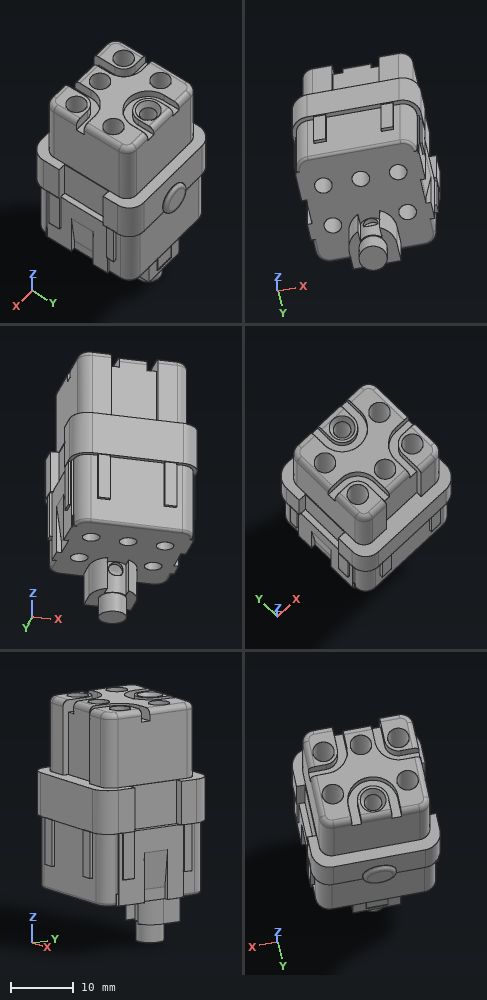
import cadquery as cq
import math

collar_base = 11.95
collar_top = 19.1
top_height = 31.3
pillar_base = -5.5
pin_base = -8.8

collar_size = 21.0
collar_radius = 3.0
notch_wall_x = 9.1
notch_front = -4.35
notch_back = 4.6

upper_x = 18.0
upper_y = 17.2
upper_radius = 2.0
upper_rounding = 1.0
recess_depth = 1.0

lower_size = 19.6
lower_radius = 2.25
lower_rounding = 0.45

tongue_half_x = 10.1
tongue_front = -7.15
tongue_back = 5.2
foot_half_x = 9.95
foot_front = -7.5
foot_height = 1.95
window_half_width = 2.2
window_top = 8.15
window_depth = 0.8

rib_base = 4.25
rib_width = 2.0
front_rib_x = 5.5
front_rib_y = -10.3
side_rib_x = 10.45
side_rib_back = 6.65
side_rib_front = -6.45

contact_x = 6.1
contact_back_y = 3.2
contact_front_y = -4.3
contact_points = [
    (-contact_x, contact_back_y),
    (contact_x, contact_back_y),
    (-contact_x, contact_front_y),
    (0, contact_front_y),
    (contact_x, contact_front_y),
]
contact_diameter = 2.8
counterbore_diameter = 3.4
counterbore_depth = 12.0

earth_y = 5.5
earth_diameter = 2.8
earth_mouth_diameter = 4.1
earth_mouth_depth = 1.0
earth_straight_depth = 10.0

drill_tip_angle = 118

corner_groove_depth = 2.0
earth_groove_depth = 1.4
groove_width = 1.55
earth_groove_radius = 4.05
corner_groove_radius = 3.8

pillar_radius = 3.9
pillar_back = 8.7
channel_half_width = 1.77
channel_core_diameter = 4.8
pad_thickness = 0.12
pad_base = -4.5
screw_hole_diameter = 2.4
screw_hole_z = -1.3
screw_hole_depth = 0.8
pin_diameter = 4.5

head_z = 13.4
head_root_radius = 2.0
head_radius = 2.75
head_face_radius = 2.1
head_widest_start = 10.6
head_widest_end = 10.8
head_face_y = 11.3

recess_half_width = contact_x - corner_groove_radius + groove_width
side_signs = (-1, 1)


def block(x0, x1, y0, y1, z0, z1):
    """Axis-aligned box between two opposite corners."""
    return cq.Workplane("XY").box(x1 - x0, y1 - y0, z1 - z0, centered=False).translate((x0, y0, z0))


def side_block(sign, x0, x1, y0, y1, z0, z1):
    """Box between two distances from the YZ plane, on the chosen side."""
    near, far = sorted((sign * x0, sign * x1))
    return block(near, far, y0, y1, z0, z1)


def cylinder(x, y, radius, z0, z1):
    return cq.Workplane("XY", origin=(x, y, z0)).circle(radius).extrude(z1 - z0)


def rounded_prism(size_x, size_y, radius, z0, z1):
    prism = cq.Workplane("XY", origin=(0, 0, z0)).rect(size_x, size_y).extrude(z1 - z0)
    return prism.edges("|Z").fillet(radius)


def drill_tip_depth(radius):
    return radius / math.tan(math.radians(drill_tip_angle / 2))


def upper_body():
    """Rounded block whose front centre strip is set back, with its own rounded top edge."""
    body = rounded_prism(upper_x, upper_y, upper_radius, collar_base, top_height)
    body = body.faces(">Z").edges().fillet(upper_rounding)
    front = -upper_y / 2
    floor = front + recess_depth
    recess = block(-recess_half_width, recess_half_width, front, floor + upper_rounding,
                   collar_top, top_height)
    strip = block(-recess_half_width, recess_half_width, floor, floor + 2 * upper_rounding,
                  collar_top, top_height)
    strip = strip.edges(">Z and <Y").fillet(upper_rounding)
    return body.cut(recess).union(strip)


def collar():
    ring = rounded_prism(collar_size, collar_size, collar_radius, collar_base, collar_top)
    for sign in side_signs:
        notch = side_block(sign, notch_wall_x, collar_size / 2, notch_front, notch_back,
                           collar_base, collar_top)
        ring = ring.cut(notch)
    return ring


def lower_body():
    body = rounded_prism(lower_size, lower_size, lower_radius, 0, collar_base)
    return body.faces("<Z").edges().fillet(lower_rounding)


def tongue(sign):
    """Side tongue with a foot and a window whose floor slopes inward going down."""
    inner_x = upper_x / 2
    plate = side_block(sign, inner_x, tongue_half_x, tongue_front, tongue_back, 0, collar_base)
    foot = side_block(sign, inner_x, foot_half_x, foot_front, tongue_front, 0, foot_height)
    return plate.union(foot)


def window(sign):
    outer_x = sign * tongue_half_x
    floor_x = sign * (tongue_half_x - window_depth)
    profile = [(outer_x, 0), (outer_x, window_top), (floor_x, foot_height), (floor_x, 0)]
    return (
        cq.Workplane("XZ")
        .polyline(profile)
        .close()
        .extrude(window_half_width, both=True)
    )


def ribs():
    parts = cq.Workplane("XY")
    inner = upper_x / 2
    for sign in side_signs:
        x = sign * front_rib_x
        front = block(x - rib_width / 2, x + rib_width / 2, front_rib_y, -inner, rib_base, collar_base)
        back_side = side_block(sign, inner, side_rib_x, tongue_back, side_rib_back, rib_base, collar_base)
        front_side = side_block(sign, inner, side_rib_x, side_rib_front, notch_front, rib_base, collar_base)
        parts = parts.union(front).union(back_side).union(front_side)
    return parts


def earth_groove_outline(radius):
    """U-shaped island around the earth hole, open to the back."""
    z0 = top_height - earth_groove_depth
    lobe = cylinder(0, earth_y, radius, z0, top_height)
    return lobe.union(block(-radius, radius, earth_y, upper_y / 2, z0, top_height))


def corner_groove_outline(sign, radius):
    """Island around a front contact, open to the side and to the front."""
    z0 = top_height - corner_groove_depth
    edge_x = upper_x / 2
    front = -upper_y / 2
    lobe = cylinder(sign * contact_x, contact_front_y, radius, z0, top_height)
    side_leg = side_block(sign, contact_x, edge_x, front, contact_front_y + radius, z0, top_height)
    front_leg = side_block(sign, contact_x - radius, edge_x, front, contact_front_y, z0, top_height)
    return lobe.union(side_leg).union(front_leg)


def top_grooves():
    grooves = earth_groove_outline(earth_groove_radius)
    grooves = grooves.cut(earth_groove_outline(earth_groove_radius - groove_width))
    for sign in side_signs:
        groove = corner_groove_outline(sign, corner_groove_radius)
        groove = groove.cut(corner_groove_outline(sign, corner_groove_radius - groove_width))
        grooves = grooves.union(groove)
    return grooves


def contact_holes():
    """Through holes with a counterbore that narrows to the hole over a conical step."""
    radius = contact_diameter / 2
    bore_radius = counterbore_diameter / 2
    step_top = top_height - counterbore_depth
    step_bottom = step_top - (bore_radius - radius)
    profile = [
        (0, 0),
        (radius, 0),
        (radius, step_bottom),
        (bore_radius, step_top),
        (bore_radius, top_height),
        (0, top_height),
    ]
    hole = cq.Workplane("XZ").polyline(profile).close().revolve(360, (0, 0), (0, 1))
    holes = cq.Workplane("XY")
    for x, y in contact_points:
        holes = holes.union(hole.translate((x, y, 0)))
    return holes


def earth_hole():
    radius = earth_diameter / 2
    straight_end = earth_mouth_depth + earth_straight_depth
    profile = [
        (0, 0),
        (earth_mouth_diameter / 2, 0),
        (radius, -earth_mouth_depth),
        (radius, -straight_end),
        (0, -straight_end - drill_tip_depth(radius)),
    ]
    hole = cq.Workplane("XZ").polyline(profile).close().revolve(360, (0, 0), (0, 1))
    return hole.translate((0, earth_y, top_height))


def pillar():
    """Round-fronted pillar whose front channel exposes a cylindrical core."""
    body = cylinder(0, earth_y, pillar_radius, pillar_base, 0)
    back = block(-pillar_radius, pillar_radius, earth_y, pillar_back, pillar_base, 0)
    beyond = block(-pillar_radius, pillar_radius, pillar_back, earth_y + pillar_radius, pillar_base, 0)
    channel = block(-channel_half_width, channel_half_width, earth_y - pillar_radius, earth_y,
                    pillar_base, 0)
    core = cylinder(0, earth_y, channel_core_diameter / 2, pillar_base, 0)
    pad = block(-channel_half_width, channel_half_width, pillar_back, pillar_back + pad_thickness,
                pad_base, 0)
    pin = cylinder(0, earth_y, pin_diameter / 2, pin_base, pillar_base)
    return body.union(back).cut(beyond).cut(channel).union(core).union(pad).union(pin)


def screw_hole():
    """Radial hole with a conical bottom, entering the core from the front."""
    radius = screw_hole_diameter / 2
    start_y = earth_y - pillar_radius
    cone_y = earth_y - channel_core_diameter / 2 + screw_hole_depth
    profile = [(0, start_y), (radius, start_y), (radius, cone_y), (0, cone_y + drill_tip_depth(radius))]
    hole = cq.Workplane("XY").polyline(profile).close().revolve(360, (0, 0), (0, 1))
    return hole.translate((0, 0, screw_hole_z))


def screw_head():
    bulge = (head_radius - head_face_radius) * math.cos(math.pi / 4)
    rise = (head_face_y - head_widest_end) * math.sin(math.pi / 4)
    seat_y = upper_y / 2
    head = (
        cq.Workplane("XY")
        .moveTo(0, seat_y)
        .lineTo(head_root_radius, seat_y)
        .lineTo(head_root_radius, lower_size / 2)
        .lineTo(head_radius, head_widest_start)
        .lineTo(head_radius, head_widest_end)
        .threePointArc((head_face_radius + bulge, head_widest_end + rise), (head_face_radius, head_face_y))
        .lineTo(0, head_face_y)
        .close()
        .revolve(360, (0, 0), (0, 1))
    )
    return head.translate((0, 0, head_z))


result = lower_body().union(collar()).union(upper_body())
for side in side_signs:
    result = result.union(tongue(side))
result = result.union(ribs()).union(pillar()).union(screw_head())
for side in side_signs:
    result = result.cut(window(side))
result = result.cut(top_grooves()).cut(contact_holes()).cut(earth_hole()).cut(screw_hole())